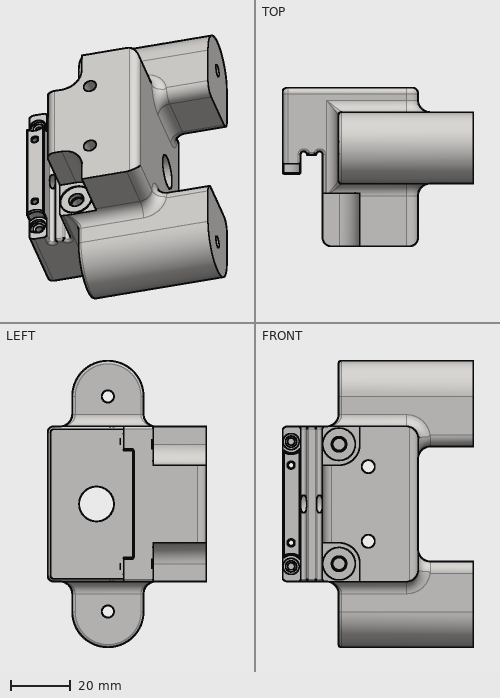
import cadquery as cq
import math


body_right = 45.4
body_back = 20.2
body_front = -33.0
body_half_height = 26.0
left_overhang = 0.27
left_edge_radius = 2.0
right_edge_radius = 4.0
back_edge_radius = 2.0
front_edge_radius = 3.0

arm_left = 18.7
arm_right = 63.89
arm_radius = 12.0
arm_axis_z = 36.0
arm_inner_z = 19.2
arm_edge_radius = 4.0
arm_end_radius = 1.0
junction_radius = 4.0
arm_hole_diameter = 4.0

lip_width = 6.06
lip_front = -8.84
groove_right = 13.34
lobe_radius = 1.0
lobe_center_y = -2.2
rib_front = -2.45
rib_corner = 0.5
rib_arc_rise = rib_front + rib_corner - lobe_center_y
groove_end_round = 1.0
rim_overlap = 0.02

lip_recess_floor = -5.26
lip_screw_x = 2.85
lip_screw_z = 20.9
lip_recess_radius = 3.8
lip_edge_bevel = 0.5
lip_bore_diameter = 5.4
lip_bore_depth = 1.15
lip_screw_diameter = 2.4
lip_screw_mouth = 3.75
lip_screw_depth = 8.0

lip_pin_x = 2.85
lip_pin_z = 13.0
lip_pin_diameter = 2.0
lip_pin_mouth = 2.6

notch_x = 18.9
notch_z = 20.0
notch_radius = 7.0
notch_floor = -15.13
notch_bore_diameter = 10.9
notch_bore_depth = 0.4
notch_screw_diameter = 4.2
notch_screw_mouth = 5.1
notch_screw_mouth_depth = 2.0
notch_screw_depth = 12.0

block_hole_x = 28.7
block_hole_z = 12.5
block_hole_diameter = 4.3
cross_hole_y = 3.8
cross_hole_diameter = 11.6

margin = 5.0
full_height = (-arm_right, arm_right)
tolerance = 0.01
ends = (1, -1)


def box(x0, x1, y0, y1, z0, z1):
    return cq.Workplane("XY").box(x1 - x0, y1 - y0, z1 - z0, centered=False).translate((x0, y0, z0))


def cylinder_y(x, z, diameter, y_front, y_back):
    """Cylinder along Y between two Y positions."""
    plane = cq.Workplane("XZ", origin=(x, y_back, z))
    return plane.circle(diameter / 2).extrude(y_back - y_front)


def cylinder_x(y, z, diameter):
    """Cylinder along X through the whole part."""
    plane = cq.Workplane("YZ", origin=(-margin, y, z))
    return plane.circle(diameter / 2).extrude(arm_right + 2 * margin)


def countersink_y(x, z, mouth, hole, y_front):
    """45 degree cone that opens a hole at its front mouth."""
    depth = (mouth - hole) / 2
    plane = cq.Workplane("XZ", origin=(x, y_front, z))
    return plane.circle(mouth / 2).extrude(-depth, taper=45)


def make_body():
    left = -left_overhang
    height = 2 * body_half_height
    footprint = box(left, body_right, body_front, body_back, -body_half_height, body_half_height)
    front_step = box(left - margin, groove_right, body_front - margin, lip_front,
                     -body_half_height, body_half_height)
    body = footprint.cut(front_step)
    body = body.faces("<Y").edges("|Z").fillet(front_edge_radius)

    length = body_right - left
    outline = (
        cq.Workplane("XZ", origin=(left + length / 2, body_back, 0))
        .rect(length, height)
        .extrude(body_back - body_front)
    )
    outline = outline.edges("|Y and <X").fillet(left_edge_radius)
    outline = outline.edges("|Y and >X").fillet(right_edge_radius)
    body = body.intersect(outline)
    return body.faces(">Y").edges().fillet(back_edge_radius)


def make_arm():
    """Upper arm: flat sides, round top, rounded lower edges."""
    arm = (
        cq.Workplane("YZ", origin=(arm_left, 0, 0))
        .moveTo(-arm_radius, arm_inner_z)
        .lineTo(arm_radius, arm_inner_z)
        .lineTo(arm_radius, arm_axis_z)
        .threePointArc((0, arm_axis_z + arm_radius), (-arm_radius, arm_axis_z))
        .close()
        .extrude(arm_right - arm_left)
    )
    return arm.edges("|X and <Z").fillet(arm_edge_radius)


def add_arms(body):
    upper = make_arm()
    part = body.union(upper).union(upper.mirror("XY"))
    reach = arm_radius + 0.1
    for end in ends:
        zone = cq.selectors.BoxSelector(
            (arm_left - 0.1, -reach, end * (arm_inner_z - 0.1)),
            (body_right + 0.1, reach, end * (body_half_height + 0.1)),
            boundingbox=True,
        )
        part = part.edges(zone).fillet(junction_radius)
    return part


def round_arm_ends(part):
    for end in ends:
        top = arm_axis_z + arm_radius
        zone = cq.selectors.BoxSelector(
            (arm_left - 0.1, -arm_radius - 0.1, end * (body_half_height + junction_radius - 0.1)),
            (arm_left + 0.1, arm_radius + 0.1, end * (top + 0.1)),
            boundingbox=True,
        )
        curved = part.edges(zone).edges("not #Z or |Z")
        part = curved.fillet(arm_end_radius)
    return part


def groove_section():
    """Open-front groove: a round lobe along each wall and a flat rib between them."""
    left_lobe_x = lip_width + lobe_radius
    right_lobe_x = groove_right - lobe_radius
    lobe_top = lobe_center_y + lobe_radius
    reach = lobe_radius + rib_corner
    rib_arc_x = math.sqrt(reach ** 2 - rib_arc_rise ** 2)
    touch_x = rib_arc_x * lobe_radius / reach
    touch_y = lobe_center_y + rib_arc_rise * lobe_radius / reach
    bend_x = rib_arc_x - rib_corner * math.sqrt(0.5)
    bend_y = lobe_center_y + rib_arc_rise - rib_corner * math.sqrt(0.5)
    return (
        cq.Workplane("XY", origin=(0, 0, -body_half_height - margin))
        .moveTo(lip_width, body_front)
        .lineTo(lip_width, lobe_center_y)
        .threePointArc((left_lobe_x, lobe_top), (left_lobe_x + touch_x, touch_y))
        .threePointArc((left_lobe_x + bend_x, bend_y), (left_lobe_x + rib_arc_x, rib_front))
        .lineTo(right_lobe_x - rib_arc_x, rib_front)
        .threePointArc((right_lobe_x - bend_x, bend_y), (right_lobe_x - touch_x, touch_y))
        .threePointArc((right_lobe_x, lobe_top), (groove_right, lobe_center_y))
        .lineTo(groove_right, body_front)
        .close()
    )


def rim_section(plane, origin, inset):
    """Section of the stock that a rounded rim removes, starting inset from the profile axis."""
    bend = groove_end_round * (1 - math.sqrt(0.5))
    outer = inset + groove_end_round
    return (
        cq.Workplane(plane, origin=origin)
        .moveTo(0, -groove_end_round)
        .lineTo(inset, -groove_end_round)
        .threePointArc((inset + bend, -bend), (outer, 0))
        .lineTo(0, 0)
        .close()
    )


def upper_groove_rim():
    """Cutter that rounds the groove's rim on the top face."""
    left_lobe_x = lip_width + lobe_radius
    right_lobe_x = groove_right - lobe_radius
    top = body_half_height
    inset = lobe_radius - rim_overlap
    wall_length = lobe_center_y - notch_floor

    lobe = rim_section("XZ", (right_lobe_x, lobe_center_y, top), inset).revolve(180, (0, 0), (0, 1))
    wall = rim_section("XZ", (right_lobe_x, lobe_center_y, top), inset).extrude(wall_length)
    right_side = lobe.union(wall)
    left_side = right_side.mirror("YZ").translate((left_lobe_x + right_lobe_x, 0, 0))

    rib = rim_section("YZ", (left_lobe_x, rib_front - inset, top), inset - rim_overlap)
    rib = rib.extrude(right_lobe_x - left_lobe_x)
    return right_side.union(left_side).union(rib)


def cut_groove(part):
    part = part.cut(groove_section().extrude(2 * (body_half_height + margin)))
    rim = upper_groove_rim()
    return part.cut(rim).cut(rim.mirror("XY"))


def lip_recess(end):
    """Pocket that lowers the lip around one end screw, with a round inner end."""
    depth_range = (lip_front - margin, lip_recess_floor)
    center_z = end * lip_screw_z
    round_end = cylinder_y(lip_screw_x, center_z, 2 * lip_recess_radius, *depth_range)
    height_range = sorted((center_z, end * (body_half_height + margin)))
    pocket = round_end.union(box(-margin, groove_right, *depth_range, *height_range))
    return pocket.intersect(box(-margin, lip_width, *depth_range, *full_height))


def cut_lip_recesses(part):
    for end in ends:
        part = part.cut(lip_recess(end))
    return part


def bevel_lip(part):
    """Bevel the front rim and the end corners of the raised middle of the lip."""
    front_rim = cq.selectors.BoxSelector(
        (-tolerance, lip_front - tolerance, -lip_screw_z),
        (lip_width + tolerance, lip_front + tolerance, lip_screw_z),
        boundingbox=True,
    )
    raised = cq.selectors.BoxSelector(
        (-tolerance, lip_front - tolerance, -lip_screw_z),
        (lip_width + tolerance, lip_recess_floor + tolerance, lip_screw_z),
        boundingbox=True,
    )
    corners = part.edges(raised).edges("|Y")
    return part.edges(front_rim).add(corners).chamfer(lip_edge_bevel)


def drill_lip(part):
    for end in ends:
        z = end * lip_screw_z
        bore_floor = lip_recess_floor + lip_bore_depth
        part = part.cut(cylinder_y(lip_screw_x, z, lip_bore_diameter, lip_recess_floor - tolerance, bore_floor))
        part = part.cut(cylinder_y(lip_screw_x, z, lip_screw_diameter, bore_floor, bore_floor + lip_screw_depth))
        part = part.cut(countersink_y(lip_screw_x, z, lip_screw_mouth, lip_screw_diameter, bore_floor))

        z = end * lip_pin_z
        part = part.cut(cylinder_y(lip_pin_x, z, lip_pin_diameter, lip_front, body_back))
        part = part.cut(countersink_y(lip_pin_x, z, lip_pin_mouth, lip_pin_diameter, lip_front))
    return part


def notch(end):
    """Corner notch with a round inside corner, concentric with its screw hole."""
    depth_range = (body_front - margin, notch_floor)
    center_z = end * notch_z
    inner_z = end * (notch_z - notch_radius)
    outer_z = end * (body_half_height + margin)
    round_corner = cylinder_y(notch_x, center_z, 2 * notch_radius, *depth_range)
    side = box(groove_right - margin, notch_x, *depth_range, *sorted((inner_z, outer_z)))
    outer = box(notch_x, notch_x + notch_radius, *depth_range, *sorted((center_z, outer_z)))
    return round_corner.union(side).union(outer)


def cut_notches(part):
    for end in ends:
        part = part.cut(notch(end))
    return part


def drill_notches(part):
    bore_floor = notch_floor + notch_bore_depth
    step = bore_floor + notch_screw_mouth_depth
    screw_end = bore_floor + notch_screw_depth
    for end in ends:
        z = end * notch_z
        part = part.cut(cylinder_y(notch_x, z, notch_bore_diameter, notch_floor, bore_floor))
        part = part.cut(cylinder_y(notch_x, z, notch_screw_mouth, bore_floor, step))
        part = part.cut(cylinder_y(notch_x, z, notch_screw_diameter, step, screw_end))
    return part


def drill_through_holes(part):
    part = part.cut(cylinder_x(cross_hole_y, 0, cross_hole_diameter))
    for end in ends:
        part = part.cut(cylinder_x(0, end * arm_axis_z, arm_hole_diameter))
        block_hole = cylinder_y(block_hole_x, end * block_hole_z, block_hole_diameter, body_front, body_back)
        part = part.cut(block_hole)
    return part


def trim_left_face(part):
    return part.cut(box(-margin, 0, body_front, body_back, *full_height))


result = make_body()
result = add_arms(result)
result = round_arm_ends(result)
result = trim_left_face(result)
result = cut_notches(result)
result = cut_lip_recesses(result)
result = cut_groove(result)
result = bevel_lip(result)
result = drill_lip(result)
result = drill_notches(result)
result = drill_through_holes(result)